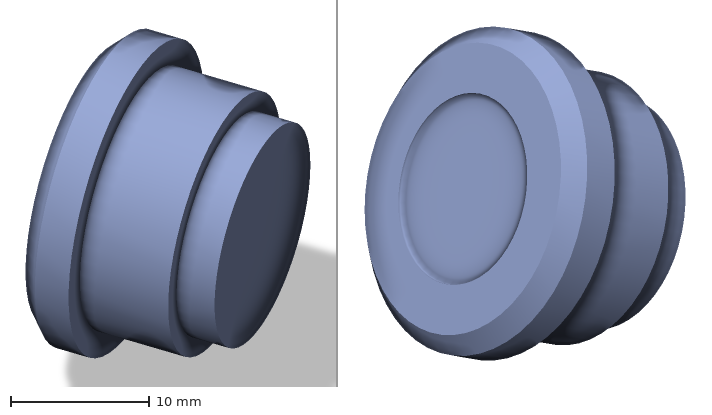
import cadquery as cq

flange_diameter = 24.0
flange_thickness = 4.0
flange_chamfer = 1.35
body_diameter = 20.0
body_end = 11.0
spigot_diameter = 17.0
total_length = 14.0

recess_diameter = 14.0
recess_depth = 0.38


def disc(diameter, start, end):
    """Solid cylinder along X between two stations."""
    return cq.Workplane("YZ", origin=(start, 0, 0)).circle(diameter / 2).extrude(end - start)


def recess_cutter():
    """Revolved recess whose wall curves into a flat floor."""
    mouth_radius = recess_diameter / 2
    floor_flat_radius = mouth_radius - recess_depth
    profile = (
        cq.Workplane("XY")
        .lineTo(0, mouth_radius)
        .radiusArc((recess_depth, floor_flat_radius), recess_depth)
        .lineTo(recess_depth, 0)
        .close()
    )
    return profile.revolve(360, (0, 0, 0), (1, 0, 0))


flange = disc(flange_diameter, 0, flange_thickness).faces("<X").chamfer(flange_chamfer)
body = disc(body_diameter, flange_thickness, body_end)
spigot = disc(spigot_diameter, body_end, total_length)

result = flange.union(body).union(spigot).cut(recess_cutter())